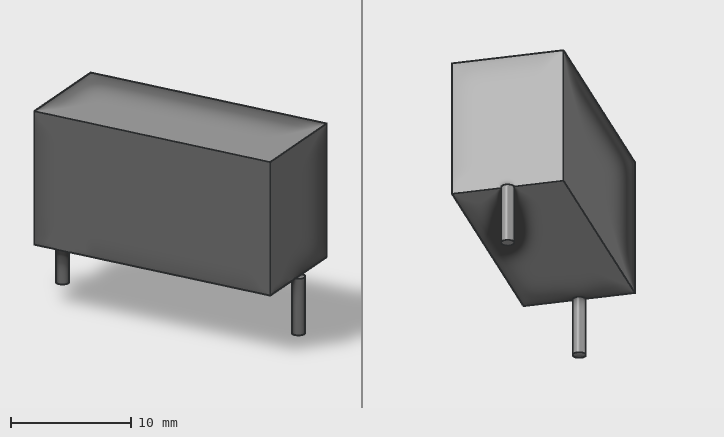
import cadquery as cq

pin_diameter = 1.1
overall_length = 23.6
overall_height = 17.1
housing_length = overall_length - pin_diameter
housing_width = 9.6
housing_height = 12.01

pin_length = overall_height - housing_height
pin_pitch = housing_length


def make_housing():
    """Plain rectangular block standing on the XY plane."""
    return cq.Workplane("XY").box(
        housing_length, housing_width, housing_height, centered=(True, True, False)
    )


def make_pin(x):
    """Round pin whose top face touches the plane of the housing underside."""
    return cq.Workplane("XY").center(x, 0).circle(pin_diameter / 2).extrude(-pin_length)


housing = make_housing()
pins = [make_pin(side * pin_pitch / 2) for side in (-1, 1)]

result = cq.Compound.makeCompound([housing.val(), *[pin.val() for pin in pins]])